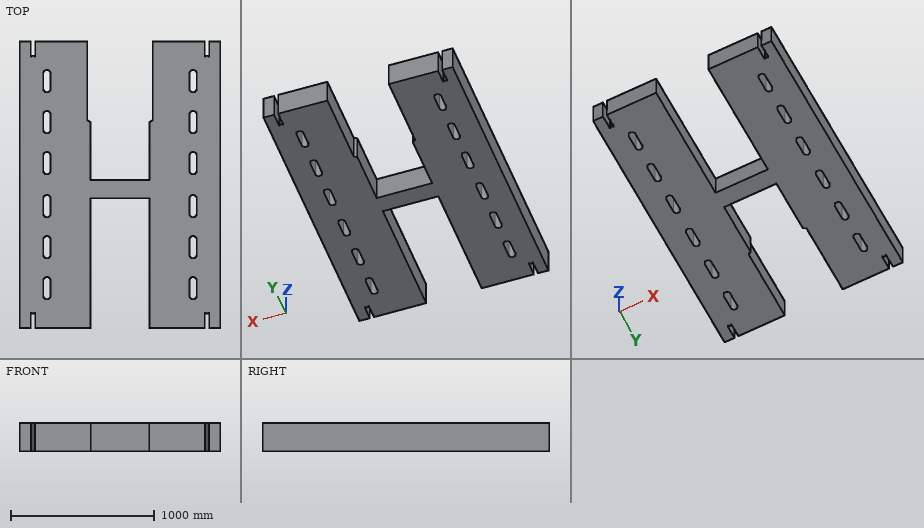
import cadquery as cq

WIDTH = 1400.0
LENGTH = 2000.0
THICKNESS = 200.0

GAP_WIDTH = 410.0
WIDE_GAP_WIDTH = 455.0
WEB_BACK_Y = 35.0
WEB_THICKNESS = 130.0
STEP_START_Y = 435.0
STEP_END_Y = 450.0

SLOT_X = 510.0
SLOT_WIDTH = 50.0
SLOT_LENGTH = 155.0
SLOT_PITCH = 285.0
INNER_SLOT_Y = 150.0
SLOTS_PER_HALF = 3

NOTCH_EDGE_STRIP = 78.0
NOTCH_WIDTH = 30.0
NOTCH_RELIEF = 5.0
NOTCH_DEPTH = 105.0


def back_gap():
    """Gap behind the web, widening at a small slanted step."""
    half_gap = GAP_WIDTH / 2
    half_wide_gap = WIDE_GAP_WIDTH / 2
    back_y = LENGTH / 2
    outline = [
        (-half_gap, WEB_BACK_Y),
        (half_gap, WEB_BACK_Y),
        (half_gap, STEP_START_Y),
        (half_wide_gap, STEP_END_Y),
        (half_wide_gap, back_y),
        (-half_wide_gap, back_y),
        (-half_wide_gap, STEP_END_Y),
        (-half_gap, STEP_START_Y),
    ]
    return cq.Workplane("XY").polyline(outline).close().extrude(THICKNESS)


def front_gap():
    """Straight gap in front of the web."""
    gap_length = WEB_BACK_Y - WEB_THICKNESS + LENGTH / 2
    return (
        cq.Workplane("XY")
        .center(0, -LENGTH / 2 + gap_length / 2)
        .rect(GAP_WIDTH, gap_length)
        .extrude(THICKNESS)
    )


def slots():
    """Through slots, mirrored about both the X and Y axes."""
    centers = []
    for i in range(SLOTS_PER_HALF):
        y = INNER_SLOT_Y + i * SLOT_PITCH
        centers += [(sx * SLOT_X, sy * y) for sx in (-1, 1) for sy in (-1, 1)]
    return (
        cq.Workplane("XY")
        .pushPoints(centers)
        .slot2D(SLOT_LENGTH, SLOT_WIDTH, 90)
        .extrude(THICKNESS)
    )


def end_notch(side, end):
    """Full-height notch in one beam end, with a square relief in each bottom corner."""
    half_width = NOTCH_WIDTH / 2
    land_half_width = half_width - NOTCH_RELIEF
    end_y = LENGTH / 2
    relief_y = end_y - NOTCH_DEPTH
    land_y = relief_y + NOTCH_RELIEF
    outline = [
        (-half_width, end_y),
        (-half_width, relief_y),
        (-land_half_width, relief_y),
        (-land_half_width, land_y),
        (land_half_width, land_y),
        (land_half_width, relief_y),
        (half_width, relief_y),
        (half_width, end_y),
    ]
    notch_x = WIDTH / 2 - NOTCH_EDGE_STRIP - half_width
    points = [(side * (notch_x + x), end * y) for x, y in outline]
    return cq.Workplane("XY").polyline(points).close().extrude(THICKNESS)


block = cq.Workplane("XY").box(WIDTH, LENGTH, THICKNESS, centered=(True, True, False))
result = block.cut(back_gap()).cut(front_gap()).cut(slots())
for side in (-1, 1):
    for end in (-1, 1):
        result = result.cut(end_notch(side, end))